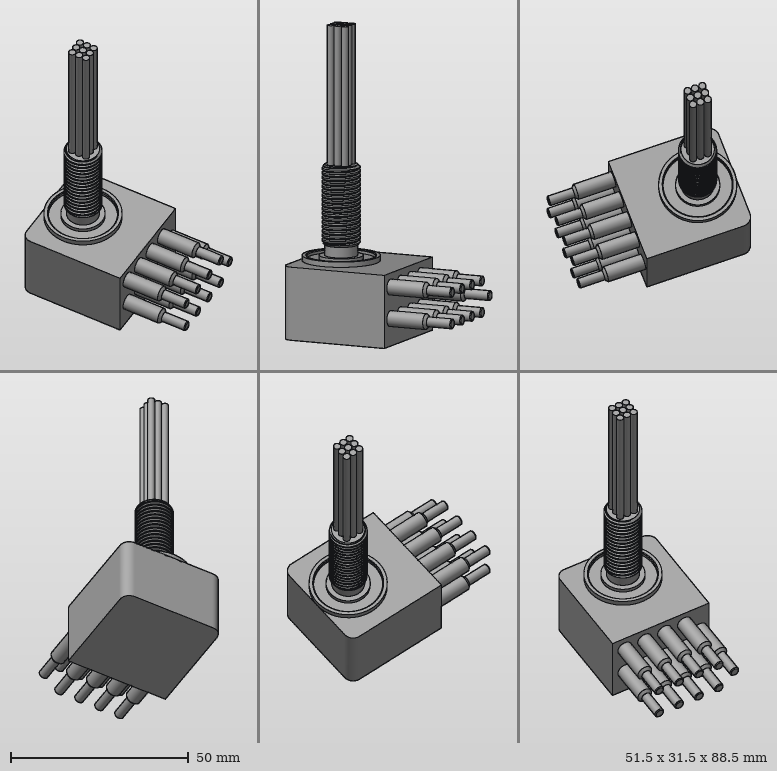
import cadquery as cq

TOTAL_LENGTH = 51.5
TOTAL_HEIGHT = 88.5

BASE_LENGTH = 32.0
BASE_WIDTH = 31.5
BASE_HEIGHT = 21.0
BASE_CORNER_RADIUS = 3.0

RING_DIAMETER = 22.0
RING_BORE = 19.5
RING_MOUTH = 20.0
RING_HEIGHT = 1.5
RECESS_DEPTH = 1.1
BOSS_DIAMETER = 12.5

NECK_DIAMETER = 9.4
NECK_LENGTH = 3.0
THREAD_DIAMETER = 10.8
THREAD_DEPTH = 0.5
THREAD_LENGTH = 23.0
THREAD_TURNS = 18
GROOVE_MOUTH = 0.8
GROOVE_FLOOR = 0.2
GROOVE_CLEARANCE = 0.1
THREAD_START_ANGLE = 20

WIRE_DIAMETER = 2.0
WIRE_SPACING = 2.2
WIRES_PER_SIDE = 3

SLEEVE_DIAMETER = 4.5
SLEEVE_LENGTH = 11.95
SLEEVE_CHAMFER = 0.8
PIN_DIAMETER = 2.8
PIN_CHAMFER = 0.3
PIN_ROW_START = -11.8
PIN_ROW_END = 7.7
PINS_PER_ROW = 4
UPPER_ROW_HEIGHT = 17.0
LOWER_ROW_HEIGHT = 8.0
SIDE_PIN_Y = 12.7
SIDE_PIN_HEIGHT = 11.95

STEM_X = RING_DIAMETER / 2
RING_TOP = BASE_HEIGHT + RING_HEIGHT
THREAD_BOTTOM = RING_TOP + NECK_LENGTH
THREAD_PITCH = THREAD_LENGTH / THREAD_TURNS
THREAD_TOP = THREAD_BOTTOM + THREAD_LENGTH
PIN_SPACING = (PIN_ROW_END - PIN_ROW_START) / (PINS_PER_ROW - 1)


def cylinder(diameter, bottom, top):
    """Upright cylinder on the stem axis."""
    return cq.Workplane("XY", origin=(STEM_X, 0, bottom)).circle(diameter / 2).extrude(top - bottom)


def make_base():
    base = cq.Workplane("XY").box(BASE_LENGTH, BASE_WIDTH, BASE_HEIGHT, centered=(False, True, False))
    return base.edges("|Z and <X").fillet(BASE_CORNER_RADIUS)


def make_ring():
    """Raised ring with a chamfered bore and a recess around the central boss."""
    chamfer = (RING_MOUTH - RING_BORE) / 2
    recess_floor = RING_TOP - RECESS_DEPTH
    ring = cylinder(RING_DIAMETER, BASE_HEIGHT, RING_TOP)
    ring = ring.cut(cylinder(RING_BORE, recess_floor, RING_TOP))
    ring = ring.faces(">Z").edges(cq.selectors.RadiusNthSelector(0)).chamfer(chamfer)
    return ring.union(cylinder(BOSS_DIAMETER, recess_floor, RING_TOP))


def groove_turn():
    """One helical turn of trapezoid section around the Z axis, wider at its mouth, from Z = 0."""
    floor_radius = THREAD_DIAMETER / 2 - THREAD_DEPTH
    outer_radius = THREAD_DIAMETER / 2 + GROOVE_CLEARANCE
    flank_slope = (GROOVE_MOUTH - GROOVE_FLOOR) / 2 / THREAD_DEPTH
    half_floor = GROOVE_FLOOR / 2
    half_outer = GROOVE_MOUTH / 2 + GROOVE_CLEARANCE * flank_slope
    corners = [
        cq.Vector(floor_radius, 0, -half_floor),
        cq.Vector(outer_radius, 0, -half_outer),
        cq.Vector(outer_radius, 0, half_outer),
        cq.Vector(floor_radius, 0, half_floor),
    ]

    helices = []
    for corner in corners:
        helix = cq.Wire.makeHelix(THREAD_PITCH, THREAD_PITCH, corner.x)
        helices.append(helix.translate(cq.Vector(0, 0, corner.z)))
    faces = []
    for index, helix in enumerate(helices):
        faces.append(cq.Face.makeRuledSurface(helices[index - 1], helix))

    start = cq.Face.makeFromWires(cq.Wire.makePolygon(corners, close=True))
    end = start.translate(cq.Vector(0, 0, THREAD_PITCH))
    shell = cq.Shell.makeShell(faces + [start, end])
    return cq.Workplane(cq.Solid.makeSolid(shell))


def make_stem():
    """Plain neck and a thread with chamfered ends, cut by one right-hand helical groove."""
    end_chamfer = (THREAD_DIAMETER - NECK_DIAMETER) / 2
    blank = cylinder(THREAD_DIAMETER, THREAD_BOTTOM, THREAD_TOP).edges().chamfer(end_chamfer)
    stem = blank.union(cylinder(NECK_DIAMETER, RING_TOP, THREAD_BOTTOM))

    turn = groove_turn().rotate((0, 0, 0), (0, 0, 1), THREAD_START_ANGLE)
    for index in range(-1, THREAD_TURNS + 1):
        stem = stem.cut(turn.translate((STEM_X, 0, THREAD_BOTTOM + index * THREAD_PITCH)))
    return stem


def make_wires():
    return (
        cq.Workplane("XY", origin=(STEM_X, 0, THREAD_TOP))
        .rarray(WIRE_SPACING, WIRE_SPACING, WIRES_PER_SIDE, WIRES_PER_SIDE)
        .circle(WIRE_DIAMETER / 2)
        .extrude(TOTAL_HEIGHT - THREAD_TOP)
    )


def make_pin(y, z):
    """Sleeve and thinner pin along +X, each chamfered at its free end."""
    face = cq.Workplane("YZ", origin=(BASE_LENGTH, y, z))
    sleeve = face.circle(SLEEVE_DIAMETER / 2).extrude(SLEEVE_LENGTH)
    sleeve = sleeve.faces(">X").chamfer(SLEEVE_CHAMFER)
    pin = face.circle(PIN_DIAMETER / 2).extrude(TOTAL_LENGTH - BASE_LENGTH)
    return sleeve.union(pin.faces(">X").chamfer(PIN_CHAMFER))


def pin_places():
    """Two equal rows of pins, and one pin beside them at its own height."""
    places = [(SIDE_PIN_Y, SIDE_PIN_HEIGHT)]
    for height in (UPPER_ROW_HEIGHT, LOWER_ROW_HEIGHT):
        for index in range(PINS_PER_ROW):
            places.append((PIN_ROW_START + index * PIN_SPACING, height))
    return places


result = make_base().union(make_ring()).union(make_stem()).union(make_wires())
for pin_y, pin_z in pin_places():
    result = result.union(make_pin(pin_y, pin_z))